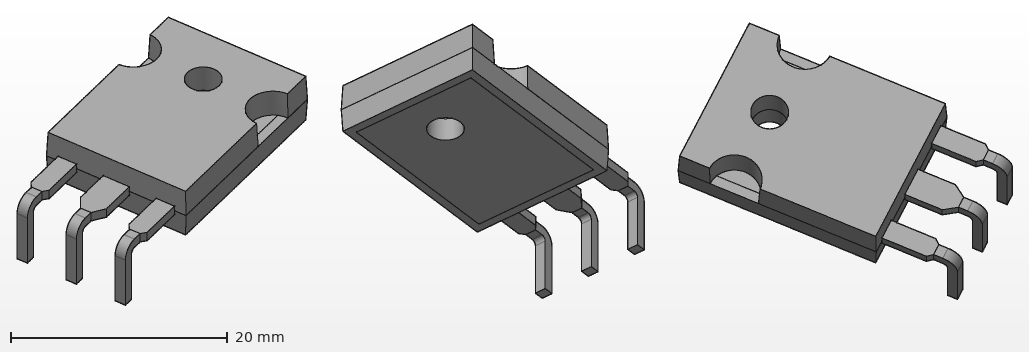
import cadquery as cq
import math

housing_width = 15.5
housing_length = 20.18
upper_height = 2.8
lower_height = 2.45
draft_inset = 0.1
back_y = housing_length / 2
front_y = -housing_length / 2

hole_diameter = 3.48
hole_from_back = 5.72
hole_y = back_y - hole_from_back
notch_floor_radius = 2.45
notch_top_radius = 2.57

plate_margin = 1.0
plate_width = housing_width - 2 * plate_margin
plate_length = housing_length - 2 * plate_margin

overall_length = 27.65
overall_height = 9.2
lead_pitch = 5.45
lead_thickness = 1.02
lead_top = 0.53
lead_bottom = lead_top - lead_thickness
lead_embed = 0.55
blade_reach = 5.03
side_blade_width = 2.05
side_taper_length = 0.53
middle_blade_width = 2.9
middle_taper_length = 1.25
pin_width = 1.15
bend_inner_radius = 0.47
bend_outer_radius = bend_inner_radius + lead_thickness
pin_tip_z = upper_height - overall_height
pin_front_y = back_y - overall_length
blade_root_y = front_y + lead_embed
blade_end_y = front_y - blade_reach

leads = [
    (-lead_pitch, side_blade_width, side_taper_length),
    (0.0, middle_blade_width, middle_taper_length),
    (lead_pitch, side_blade_width, side_taper_length),
]


def make_half(height):
    """Drafted block from the parting plane to Z = height, with the screw hole."""
    half = (
        cq.Workplane("XY")
        .rect(housing_width, housing_length)
        .workplane(offset=height)
        .rect(housing_width - 2 * draft_inset, housing_length - 2 * draft_inset)
        .loft(ruled=True)
    )
    return half.cut(make_hole_cutter())


def make_hole_cutter():
    return (
        cq.Workplane("XY", origin=(0, hole_y, -lower_height))
        .circle(hole_diameter / 2)
        .extrude(lower_height + upper_height)
    )


def make_notch_cutter(x):
    """Cone that widens upward from the parting plane."""
    return (
        cq.Workplane("XY", origin=(x, hole_y, 0))
        .circle(notch_floor_radius)
        .workplane(offset=upper_height)
        .circle(notch_top_radius)
        .loft()
    )


def make_plate_blank():
    return (
        cq.Workplane("XY", origin=(0, 0, -lower_height))
        .rect(plate_width, plate_length)
        .extrude(lower_height)
    )


def make_blade(x, width, taper_length):
    """Flat blade rooted in the housing and tapering to the pin width."""
    taper_start_y = blade_end_y + taper_length
    return (
        cq.Workplane("XY", origin=(x, 0, lead_bottom))
        .moveTo(-width / 2, blade_root_y)
        .lineTo(-width / 2, taper_start_y)
        .lineTo(-pin_width / 2, blade_end_y)
        .lineTo(pin_width / 2, blade_end_y)
        .lineTo(width / 2, taper_start_y)
        .lineTo(width / 2, blade_root_y)
        .close()
        .extrude(lead_thickness)
    )


def make_pin(x):
    """Narrow strip that bends down through a right angle."""
    bend_y = pin_front_y + bend_outer_radius
    bend_z = lead_top - bend_outer_radius
    diagonal = math.sqrt(0.5)
    outer_mid = (bend_y - bend_outer_radius * diagonal, bend_z + bend_outer_radius * diagonal)
    inner_mid = (bend_y - bend_inner_radius * diagonal, bend_z + bend_inner_radius * diagonal)
    return (
        cq.Workplane("YZ", origin=(x - pin_width / 2, 0, 0))
        .moveTo(blade_end_y, lead_top)
        .lineTo(bend_y, lead_top)
        .threePointArc(outer_mid, (pin_front_y, bend_z))
        .lineTo(pin_front_y, pin_tip_z)
        .lineTo(pin_front_y + lead_thickness, pin_tip_z)
        .lineTo(pin_front_y + lead_thickness, bend_z)
        .threePointArc(inner_mid, (bend_y, lead_bottom))
        .lineTo(blade_end_y, lead_bottom)
        .close()
        .extrude(pin_width)
    )


blades = [make_blade(x, width, taper_length) for x, width, taper_length in leads]
pins = [make_pin(x) for x, _, _ in leads]

plate_blank = make_plate_blank()
plate = plate_blank.cut(make_hole_cutter())

upper_housing = make_half(upper_height)
for notch_x in (-housing_width / 2, housing_width / 2):
    upper_housing = upper_housing.cut(make_notch_cutter(notch_x))
lower_housing = make_half(-lower_height).cut(plate_blank)

for blade in blades:
    upper_housing = upper_housing.cut(blade)
    lower_housing = lower_housing.cut(blade)

result = cq.Compound.makeCompound([
    upper_housing.val(),
    lower_housing.val(),
    plate.val(),
    *[blade.val() for blade in blades],
    *[pin.val() for pin in pins],
])